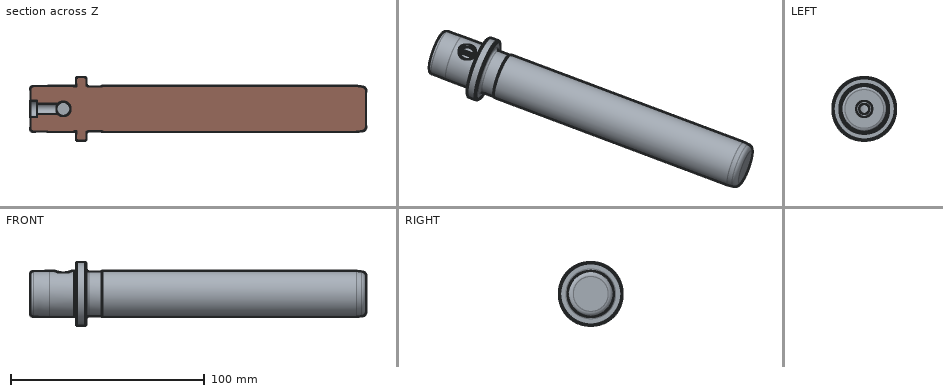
import cadquery as cq
import math

LENGTH = 174.0
BODY_RADIUS = 12.0

COLLAR_RADIUS = 16.5
COLLAR_START = 23.7
COLLAR_WIDTH = 5.5
COLLAR_END = COLLAR_START + COLLAR_WIDTH
COLLAR_CHAMFER = 0.7

PLUG_TAPER_DROP = 0.09
TIP_TAPER_DROP = 0.3
PLUG_ROUND = 2.0
PLUG_TAPER_END = 10.1
TIP_ROUND = 2.6
TIP_TAPER_LENGTH = 5.2

UNDERCUT_START = 22.8
UNDERCUT_DEPTH = 0.3
UNDERCUT_OUTER_RADIUS = 12.9
UNDERCUT_FACE_DEPTH = 0.2

NECK_RADIUS = 11.7
NECK_END = 36.9
NECK_RUNOUT = 0.5
NECK_FILLET = 1.2

AXIAL_HOLE_RADIUS = 2.6
AXIAL_MOUTH_RADIUS = 4.2
AXIAL_MOUTH_DEPTH = 3.5

SCREW_X = 17.2
SCREW_RADIUS = 3.7
SCREW_MOUTH_RADIUS = 4.5
SCREW_HOLE_FLOOR = -4.2
SCREW_TOP = 9.7
SCREW_BOTTOM = 3.5
SLOT_WIDTH = 2.1
SLOT_DEPTH = 2.1

ARC_MIDDLE = math.sqrt(0.5)


def make_turned_body():
    """Revolve the half profile of plug, collar and pin about X."""
    plug_radius = BODY_RADIUS - PLUG_TAPER_DROP
    tip_radius = BODY_RADIUS - TIP_TAPER_DROP
    plug_arc_z = plug_radius - PLUG_ROUND
    tip_arc_x = LENGTH - TIP_ROUND
    tip_arc_z = tip_radius - TIP_ROUND
    undercut_radius = BODY_RADIUS - UNDERCUT_DEPTH
    undercut_face = COLLAR_START + UNDERCUT_FACE_DEPTH
    fillet_x = COLLAR_END + NECK_FILLET
    fillet_z = NECK_RADIUS + NECK_FILLET
    profile = (
        cq.Workplane("XZ")
        .lineTo(0, plug_arc_z)
        .threePointArc(
            (PLUG_ROUND * (1 - ARC_MIDDLE), plug_arc_z + PLUG_ROUND * ARC_MIDDLE),
            (PLUG_ROUND, plug_radius),
        )
        .lineTo(PLUG_TAPER_END, BODY_RADIUS)
        .lineTo(UNDERCUT_START, BODY_RADIUS)
        .lineTo(UNDERCUT_START + UNDERCUT_DEPTH, undercut_radius)
        .lineTo(undercut_face, undercut_radius)
        .lineTo(undercut_face, UNDERCUT_OUTER_RADIUS - UNDERCUT_FACE_DEPTH)
        .lineTo(COLLAR_START, UNDERCUT_OUTER_RADIUS)
        .lineTo(COLLAR_START, COLLAR_RADIUS - COLLAR_CHAMFER)
        .lineTo(COLLAR_START + COLLAR_CHAMFER, COLLAR_RADIUS)
        .lineTo(COLLAR_END - COLLAR_CHAMFER, COLLAR_RADIUS)
        .lineTo(COLLAR_END, COLLAR_RADIUS - COLLAR_CHAMFER)
        .lineTo(COLLAR_END, fillet_z)
        .threePointArc(
            (fillet_x - NECK_FILLET * ARC_MIDDLE, fillet_z - NECK_FILLET * ARC_MIDDLE),
            (fillet_x, NECK_RADIUS),
        )
        .lineTo(NECK_END, NECK_RADIUS)
        .lineTo(NECK_END + NECK_RUNOUT, BODY_RADIUS)
        .lineTo(LENGTH - TIP_TAPER_LENGTH, BODY_RADIUS)
        .lineTo(tip_arc_x, tip_radius)
        .threePointArc(
            (tip_arc_x + TIP_ROUND * ARC_MIDDLE, tip_arc_z + TIP_ROUND * ARC_MIDDLE),
            (LENGTH, tip_arc_z),
        )
        .lineTo(LENGTH, 0)
        .close()
    )
    return profile.revolve(360, (0, 0, 0), (1, 0, 0))


def make_axial_hole():
    """Hole from the plug end to the radial hole, counterbored at its mouth."""
    bore = cq.Workplane("YZ").circle(AXIAL_HOLE_RADIUS).extrude(SCREW_X)
    mouth = cq.Workplane("YZ").circle(AXIAL_MOUTH_RADIUS).extrude(AXIAL_MOUTH_DEPTH)
    return bore.union(mouth)


def make_screw_hole():
    """Blind radial hole from the top, with a conical mouth."""
    mouth_height = SCREW_MOUTH_RADIUS - SCREW_RADIUS
    return (
        cq.Workplane("XZ", origin=(SCREW_X, 0, 0))
        .moveTo(0, SCREW_HOLE_FLOOR)
        .lineTo(SCREW_RADIUS, SCREW_HOLE_FLOOR)
        .lineTo(SCREW_RADIUS, BODY_RADIUS - 2 * mouth_height)
        .lineTo(SCREW_MOUTH_RADIUS, BODY_RADIUS - mouth_height)
        .lineTo(SCREW_MOUTH_RADIUS, BODY_RADIUS)
        .lineTo(0, BODY_RADIUS)
        .close()
        .revolve(360, (0, 0, 0), (0, 1, 0))
    )


def make_set_screw():
    """Screw filling the upper part of the radial hole, slotted along X."""
    top_center = (SCREW_X, 0, SCREW_TOP)
    screw = cq.Workplane("XY", origin=top_center).circle(SCREW_RADIUS).extrude(SCREW_BOTTOM - SCREW_TOP)
    slot = cq.Workplane("XY", origin=top_center).rect(2 * SCREW_RADIUS, SLOT_WIDTH).extrude(-SLOT_DEPTH)
    return screw.cut(slot)


result = (
    make_turned_body()
    .cut(make_axial_hole())
    .cut(make_screw_hole())
    .union(make_set_screw())
)